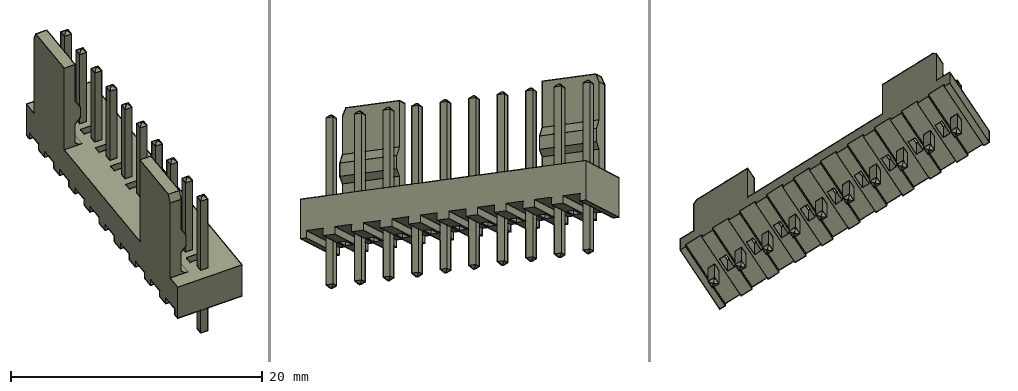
import cadquery as cq

overall_height = 15.27

pin_count = 10
pitch = 2.55
housing_length = pin_count * pitch
housing_depth = 5.8
housing_height = 3.25
foot_gap_width = 1.5
foot_gap_height = 0.6

pin_width = 0.64
pin_top = 10.7
pin_bottom = -3.53
point_chamfer = 0.25

slot_width = 0.64
slot_depth = 1.2

wall_top = pin_bottom + overall_height
wall_width = 2 * pitch
wall_thickness = 1.0
root_depth = 0.6
root_height = 0.38
root_radius = (root_depth**2 + root_height**2) / (2 * root_height)
corner_width = 0.3
corner_height = 0.69

ridge_depth = 0.45
ridge_start = 2.25
ridge_flat_start = 2.77
ridge_flat_end = 3.85
ridge_end = 4.67

front_y = -housing_depth / 2
first_pin_x = -(pin_count - 1) * pitch / 2
pin_places = [(first_pin_x + i * pitch, 0) for i in range(pin_count)]
slot_places = [(x + pitch / 2, y) for x, y in pin_places[:-1]]


def make_housing():
    block = cq.Workplane("XY").box(
        housing_length, housing_depth, housing_height, centered=(True, True, False)
    )
    foot_gaps = (
        cq.Workplane("XY")
        .pushPoints(pin_places)
        .rect(foot_gap_width, housing_depth)
        .extrude(foot_gap_height)
    )
    slots = (
        cq.Workplane("XY")
        .pushPoints(slot_places)
        .rect(slot_width, slot_depth)
        .extrude(housing_height)
    )
    return block.cut(foot_gaps).cut(slots)


def make_pin():
    return (
        cq.Workplane("XY", origin=(0, 0, pin_bottom))
        .rect(pin_width, pin_width)
        .extrude(pin_top - pin_bottom)
        .faces("<Z or >Z")
        .edges()
        .chamfer(point_chamfer)
    )


def make_left_wall():
    """Wall from the first pin to the third, with its outer top corner cut off."""
    inner_y = front_y + wall_thickness
    ridge_y = inner_y + ridge_depth
    root_y = inner_y + root_depth
    wall = (
        cq.Workplane("YZ", origin=(first_pin_x, 0, 0))
        .moveTo(front_y, foot_gap_height)
        .lineTo(front_y, wall_top)
        .lineTo(inner_y, wall_top)
        .lineTo(inner_y, housing_height + ridge_end)
        .lineTo(ridge_y, housing_height + ridge_flat_end)
        .lineTo(ridge_y, housing_height + ridge_flat_start)
        .lineTo(inner_y, housing_height + ridge_start)
        .lineTo(inner_y, housing_height + root_height)
        .radiusArc((root_y, housing_height), -root_radius)
        .lineTo(root_y, foot_gap_height)
        .close()
        .extrude(wall_width)
    )
    corner = (
        cq.Workplane("XZ", origin=(0, front_y, 0))
        .moveTo(first_pin_x, wall_top - corner_height)
        .lineTo(first_pin_x + corner_width, wall_top)
        .lineTo(first_pin_x, wall_top)
        .close()
        .extrude(-wall_thickness)
    )
    return wall.cut(corner)


def make_part():
    part = make_housing()
    left_wall = make_left_wall()
    part = part.union(left_wall).union(left_wall.mirror("YZ"))
    pin = make_pin()
    for x, y in pin_places:
        part = part.union(pin.translate((x, y, 0)))
    return part


result = make_part()